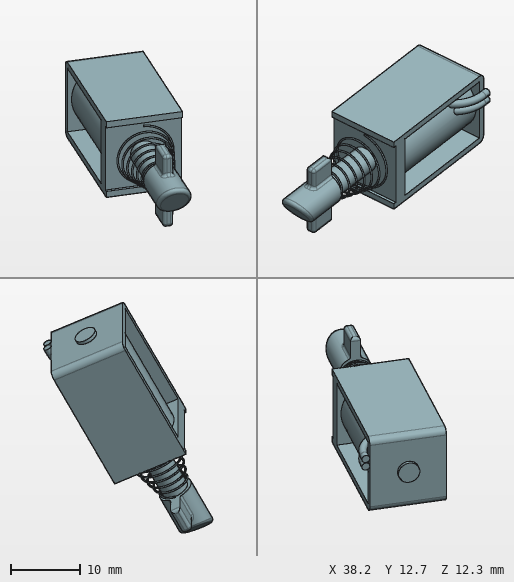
import cadquery as cq
import math


BUTTON_RADIUS = 1.6
BUTTON_LENGTH = 0.55
FRAME_WIDTH = 11.5
FRAME_HEIGHT = 12.3
PLATE = 1.0
BEND_RADIUS = 1.0
BACK_X = BUTTON_LENGTH
WINDOW_START_X = BACK_X + PLATE
WINDOW_END_X = 18.75
FACE_X = 20.9
LIP_LENGTH = 0.45
WINDOW_HEIGHT = FRAME_HEIGHT - 2 * PLATE

COIL_RADIUS = 5.1
LEAD_DIAMETER = 1.2
LEAD_BEND_RADIUS = 5.5
LEAD_HEIGHTS = (1.7, 2.98)
LEAD_Y = (FRAME_WIDTH + LEAD_DIAMETER) / 2

SHAFT_RADIUS = 2.0
HEAD_RADIUS = 2.55
HEAD_X = 29.52
TIP_X = 38.2
TIP_ANGLE = 35.0
EDGE_RADIUS = 0.5
FIN_END_X = 33.6
FIN_THICKNESS = 1.53
FIN_REACH = 5.8
TOLERANCE = 0.005

SPRING_WIRE_RADIUS = 0.1
SPRING_LARGE_RADIUS = 4.45
SPRING_SMALL_RADIUS = 2.2
SPRING_TURNS = 6.5


def rod_along_x(radius, start_x, end_x):
    return cq.Workplane("YZ", origin=(start_x, 0, 0)).circle(radius).extrude(end_x - start_x)


def block(start_x, end_x, width, height):
    """Box from start_x to end_x, centred on the plunger axis."""
    return cq.Workplane("XY").box(
        end_x - start_x, width, height, centered=(False, True, True)
    ).translate((start_x, 0, 0))


def make_lead(height):
    """Lead wire: a short straight end, then a quarter bend into the coil."""
    bend_end = (WINDOW_START_X + LEAD_BEND_RADIUS, LEAD_Y - LEAD_BEND_RADIUS)
    path = (
        cq.Workplane("XY", origin=(0, 0, height))
        .moveTo(BACK_X, LEAD_Y)
        .lineTo(WINDOW_START_X, LEAD_Y)
        .tangentArcPoint(bend_end, relative=False)
    )
    return (
        cq.Workplane("YZ", origin=(BACK_X, LEAD_Y, height))
        .circle(LEAD_DIAMETER / 2)
        .sweep(path)
    )


def make_solenoid():
    """Frame with its coil, back button and lead wires."""
    frame = block(BACK_X, FACE_X + LIP_LENGTH, FRAME_WIDTH, FRAME_HEIGHT)
    frame = frame.edges("|Y and <X").fillet(BEND_RADIUS)
    frame = frame.cut(block(WINDOW_START_X, WINDOW_END_X, FRAME_WIDTH, WINDOW_HEIGHT))
    frame = frame.cut(block(FACE_X, FACE_X + LIP_LENGTH, FRAME_WIDTH, WINDOW_HEIGHT))
    solenoid = frame.union(rod_along_x(COIL_RADIUS, WINDOW_START_X, WINDOW_END_X))
    solenoid = solenoid.union(rod_along_x(BUTTON_RADIUS, 0, BACK_X))
    for height in LEAD_HEIGHTS:
        solenoid = solenoid.union(make_lead(height))
    return solenoid


def make_head():
    """Round bolt head with a slanted, rounded end."""
    corner_half_angle = math.radians(90 - TIP_ANGLE) / 2
    rounding_loss = EDGE_RADIUS * (1 / math.tan(corner_half_angle) - 1)
    top_x = TIP_X + rounding_loss
    bottom_x = top_x - 2 * HEAD_RADIUS * math.tan(math.radians(TIP_ANGLE))
    profile = (
        cq.Workplane("XZ")
        .polyline([
            (HEAD_X, -HEAD_RADIUS),
            (bottom_x, -HEAD_RADIUS),
            (top_x, HEAD_RADIUS),
            (HEAD_X, HEAD_RADIUS),
        ])
        .close()
        .extrude(HEAD_RADIUS, both=True)
    )
    head = rod_along_x(HEAD_RADIUS, HEAD_X, top_x).intersect(profile)
    return head.faces(">X").edges().fillet(EDGE_RADIUS)


def make_fins():
    """Bar through the head whose two ends are the fins."""
    bar = block(HEAD_X, FIN_END_X, FIN_THICKNESS, 2 * FIN_REACH)
    bar = bar.edges("|Z and >X").fillet(EDGE_RADIUS)
    return bar.faces("<Z or >Z").edges().fillet(EDGE_RADIUS)


def is_fin_root(edge):
    """True for the edges where a fin meets the round surface of the head."""
    middle = edge.positionAt(0.5)
    on_head = abs(math.hypot(middle.y, middle.z) - HEAD_RADIUS) < TOLERANCE
    beside_fin = abs(middle.y) < FIN_THICKNESS / 2 + TOLERANCE
    return on_head and beside_fin and HEAD_X + TOLERANCE < middle.x < FIN_END_X + TOLERANCE


def make_plunger():
    """Shaft standing on the frame face, with the finned head at its end."""
    plunger = make_head().union(make_fins())
    roots = [edge for edge in plunger.edges().vals() if is_fin_root(edge)]
    plunger = plunger.newObject(roots).fillet(EDGE_RADIUS)
    return plunger.union(rod_along_x(SHAFT_RADIUS, FACE_X, HEAD_X))


def make_spring():
    """Left-hand conical spring from the frame face to the back of the head."""
    length = HEAD_X - FACE_X - 2 * SPRING_WIRE_RADIUS
    taper = math.atan2(SPRING_LARGE_RADIUS - SPRING_SMALL_RADIUS, length)
    slope_length = length / math.cos(taper)
    helix = cq.Wire.makeHelix(
        slope_length / SPRING_TURNS,
        slope_length,
        SPRING_SMALL_RADIUS,
        angle=math.degrees(taper),
        lefthand=True,
    )
    spring = (
        cq.Workplane("XZ", origin=(SPRING_SMALL_RADIUS, 0, 0))
        .circle(SPRING_WIRE_RADIUS)
        .sweep(cq.Workplane(helix), isFrenet=True)
    )
    spring = spring.rotate((0, 0, 0), (0, 1, 0), -90)
    return spring.rotate((0, 0, 0), (1, 0, 0), 180).translate((HEAD_X - SPRING_WIRE_RADIUS, 0, 0))


solenoid = make_solenoid()
plunger = make_plunger()
spring = make_spring()

result = cq.Compound.makeCompound([solenoid.solids().val(), plunger.solids().val(), spring.val()])